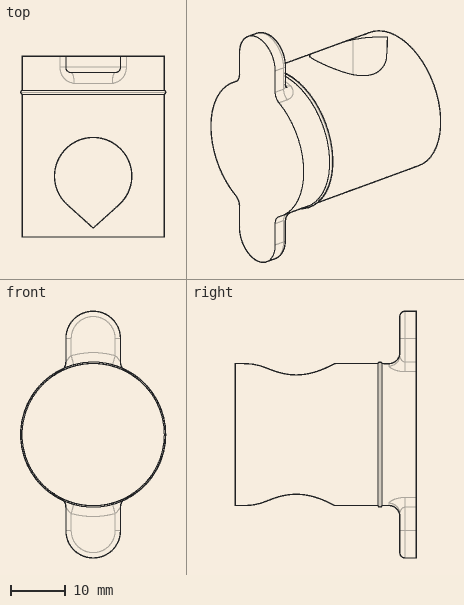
import cadquery as cq
import math

body_diameter = 25.9
body_radius = body_diameter / 2
body_length = 33.0

ring_outer_diameter = 26.45
ring_section_radius = 0.4
ring_from_back = 6.6

tab_span = 45.0
tab_width = 10.0
tab_thickness = 3.0
tab_edge_radius = 1.0
tab_root_radius = 2.0

hole_radius = 7.0
hole_from_back = 21.85
hole_tip_from_back = 31.3


def make_tabs():
    """One long strip whose two rounded ends stick out of the body."""
    strip = cq.Workplane("XZ").slot2D(tab_span, tab_width, 90).extrude(tab_thickness)
    return strip.faces("<Y").edges().fillet(tab_edge_radius)


def make_ring():
    """A torus, half sunk into the body."""
    section_center = ring_outer_diameter / 2 - ring_section_radius
    return (
        cq.Workplane("XY")
        .center(section_center, -ring_from_back)
        .circle(ring_section_radius)
        .revolve(360, (-section_center, 0), (-section_center, 1))
    )


def make_teardrop_cutter():
    """A circle closed by the two tangents that meet at the tip."""
    tip_distance = hole_tip_from_back - hole_from_back
    tangent_angle = math.acos(hole_radius / tip_distance)
    tangent_x = hole_radius * math.sin(tangent_angle)
    tangent_y = -hole_radius * math.cos(tangent_angle)
    return (
        cq.Workplane("XY")
        .center(0, -hole_from_back)
        .moveTo(0, -tip_distance)
        .lineTo(tangent_x, tangent_y)
        .threePointArc((0, hole_radius), (-tangent_x, tangent_y))
        .close()
        .extrude(body_radius, both=True)
    )


def root_edges(solid):
    """Edges where the tabs meet the round side of the body."""
    half_width = tab_width / 2
    root_depth = body_radius - math.sqrt(body_radius**2 - half_width**2)
    margin = 0.22
    boxes = []
    for side in (1, -1):
        root_z = side * (body_radius - root_depth / 2)
        reach = root_depth / 2 + margin
        boxes.append(
            cq.selectors.BoxSelector(
                (-half_width - margin, -tab_thickness - margin, root_z - reach),
                (half_width + margin, -margin, root_z + reach),
            )
        )
    return solid.edges(boxes[0] + boxes[1])


body = cq.Workplane("XZ").circle(body_radius).extrude(body_length)
body = root_edges(body.union(make_tabs())).fillet(tab_root_radius)
result = body.union(make_ring()).cut(make_teardrop_cutter())